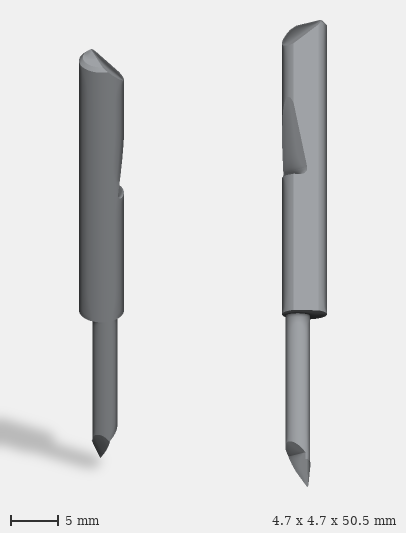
import cadquery as cq

total_length = 50.45
overshoot = 2.5

shank_radius = 2.35
shank_bottom = 18.8
end_chamfer = 0.4

flat_distance = 1.95
flat_angle = 142.4

bevel_start_y = -0.53

notch_top = 41.95
notch_floor_z = 33.55
notch_depth = 1.25
notch_deepest_z = 34.3
notch_corner_radius = 0.6

neck_radius = 1.3
neck_x = shank_radius - neck_radius

rake_y = 0.1
rake_z = 3.85
hook_top = 3.1
hook_top_x = -0.55
hook_point_x = -0.65
hook_point_z = 0.25
nose_x = -0.55
hook_side_slope = 0.7
heel_x = 0.75
heel_end_z = 3.75
end_slope = 1.1
relief_slope = 1.5


def slanted_prism(outline, direction, length):
    """Sweep a closed XZ outline in a straight line that covers `length` in Y."""
    vector = cq.Vector(*direction) * length
    return cq.Workplane(obj=cq.Solid.extrudeLinear(outline.val(), [], vector))


def make_shank():
    length = total_length - shank_bottom
    shank = (
        cq.Workplane("XY").workplane(offset=shank_bottom)
        .circle(shank_radius).extrude(length)
        .faces(">Z").chamfer(end_chamfer)
    )
    flat_cutter = (
        cq.Workplane("XY")
        .box(shank_radius, 4 * shank_radius, total_length, centered=(False, True, False))
        .translate((flat_distance, 0, 0))
        .rotate((0, 0, 0), (0, 0, 1), flat_angle)
    )
    return shank.cut(flat_cutter).cut(make_end_bevel()).cut(make_notch())


def make_end_bevel():
    reach = shank_radius + overshoot - bevel_start_y
    return (
        cq.Workplane("YZ")
        .moveTo(bevel_start_y, total_length)
        .lineTo(bevel_start_y + reach, total_length - reach)
        .lineTo(bevel_start_y + reach, total_length)
        .close().extrude(shank_radius, both=True)
    )


def make_notch():
    outer_y = shank_radius
    deep_y = outer_y - notch_depth
    return (
        cq.Workplane("YZ")
        .moveTo(outer_y, notch_top)
        .lineTo(deep_y, notch_deepest_z)
        .lineTo(deep_y, notch_floor_z + notch_corner_radius)
        .radiusArc((deep_y + notch_corner_radius, notch_floor_z), -notch_corner_radius)
        .lineTo(outer_y + overshoot, notch_floor_z)
        .lineTo(outer_y + overshoot, notch_top)
        .close().extrude(shank_radius, both=True)
    )


def make_neck():
    return (
        cq.Workplane("XY").workplane(offset=hook_top)
        .center(neck_x, 0).circle(neck_radius).extrude(shank_bottom - hook_top)
    )


def make_hook():
    right_x = shank_radius - hook_side_slope * rake_y
    outline = (
        cq.Workplane("XZ", origin=(0, rake_y, 0))
        .moveTo(nose_x, 0)
        .lineTo(hook_point_x, hook_point_z)
        .lineTo(hook_top_x, hook_top)
        .lineTo(right_x, hook_top)
        .lineTo(right_x, 0)
        .close().wire()
    )
    return slanted_prism(outline, (hook_side_slope, -1, 0), rake_y + neck_radius)


def make_rake_cutter():
    ramp = neck_radius + overshoot
    return (
        cq.Workplane("YZ")
        .moveTo(rake_y, rake_z)
        .lineTo(rake_y + ramp, rake_z + ramp)
        .lineTo(rake_y + ramp, -overshoot)
        .lineTo(rake_y, -overshoot)
        .close().extrude(2 * shank_radius, both=True)
    )


def make_end_relief():
    """Slanted end face: a straight edge running tangentially into a rounded heel."""
    heel_z = end_slope * (heel_x - nose_x)
    left_x = nose_x - overshoot
    bottom_z = -4 * overshoot
    outline = (
        cq.Workplane("XZ", origin=(0, rake_y, 0))
        .moveTo(left_x, end_slope * (left_x - nose_x))
        .lineTo(heel_x, heel_z)
        .tangentArcPoint((shank_radius, heel_end_z), relative=False)
        .lineTo(shank_radius + overshoot, heel_end_z)
        .lineTo(shank_radius + overshoot, bottom_z)
        .lineTo(left_x, bottom_z)
        .close().wire()
    )
    return slanted_prism(outline, (0, -1, relief_slope), rake_y + neck_radius + overshoot)


tool = make_shank().union(make_neck()).union(make_hook())
result = tool.cut(make_rake_cutter()).cut(make_end_relief())